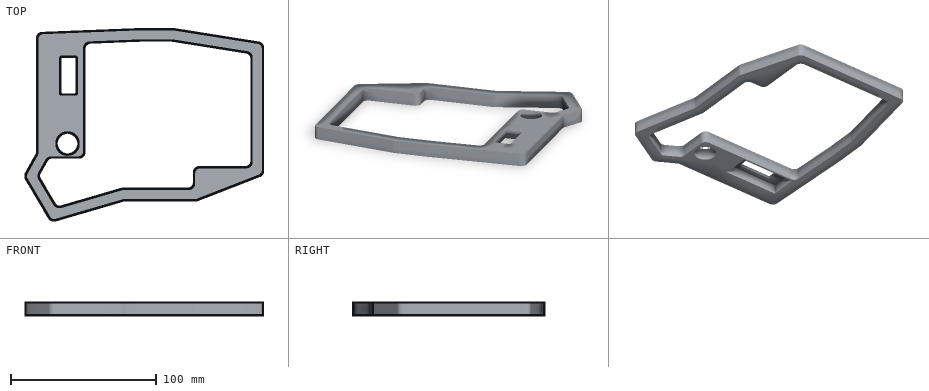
import cadquery as cq
import math

thickness = 9.0
wall = 8.0
length = 163.8
height = 132.0

grip_x = 8.0
grip_bottom_y = 46.2
grip_top_y = 129.3
roof_left_x = 78.6
roof_right_x = 102.0
right_top_y = 122.2
right_bottom_y = 31.8
floor_y = 14.0
floor_left_x = 67.8
floor_right_x = 118.0
tip = (-0.7, 30.6)
low_corner = (17.9, -0.7)

pillar_right_x = 40.6
pillar_bottom_y = 43.5
notch_left_x = 116.2
notch_top_y = 36.9

corner_radius = 4.0

slot_left_x = 24.1
slot_right_x = 35.2
slot_bottom_y = 87.0
slot_top_y = 112.9
slot_radius = 0.8
lip_thickness = 2.0
pocket_side_margin = 4.0
pocket_end_margin = 8.0
hole_center = (29.0, 53.1)
hole_diameter = 15.0

grip_top = (grip_x, grip_top_y)
roof_left = (roof_left_x, height)
roof_right = (roof_right_x, height)
right_top = (length, right_top_y)
right_bottom = (length, right_bottom_y)
floor_right = (floor_right_x, floor_y)
floor_left = (floor_left_x, floor_y)
grip_bottom = (grip_x, grip_bottom_y)


def inset(start, end):
    """Line through a clockwise outer edge, moved inward by the wall width."""
    dx = end[0] - start[0]
    dy = end[1] - start[1]
    edge_length = math.hypot(dx, dy)
    direction = (dx / edge_length, dy / edge_length)
    point = (start[0] + wall * direction[1], start[1] - wall * direction[0])
    return point, direction


def horizontal(y):
    return (0, y), (1, 0)


def vertical(x):
    return (x, 0), (0, 1)


def crossing(first, second):
    """Point where two lines, each a point and a direction, cross."""
    (px, py), (ux, uy) = first
    (qx, qy), (vx, vy) = second
    distance = ((qx - px) * vy - (qy - py) * vx) / (ux * vy - uy * vx)
    return px + distance * ux, py + distance * uy


def prism(corners):
    return cq.Workplane("XY").polyline(corners).close().extrude(thickness)


def make_body():
    corners = [
        grip_top, roof_left, roof_right, right_top, right_bottom,
        floor_right, floor_left, low_corner, tip, grip_bottom,
    ]
    return prism(corners).edges("|Z").fillet(corner_radius)


def make_window():
    sides = [
        vertical(pillar_right_x),
        inset(grip_top, roof_left),
        inset(roof_left, roof_right),
        inset(roof_right, right_top),
        inset(right_top, right_bottom),
        horizontal(notch_top_y),
        vertical(notch_left_x),
        inset(floor_right, floor_left),
        inset(floor_left, low_corner),
        inset(low_corner, tip),
        inset(tip, grip_bottom),
        horizontal(pillar_bottom_y),
    ]
    corners = [crossing(sides[i - 1], sides[i]) for i in range(len(sides))]
    return prism(corners).edges("|Z").fillet(corner_radius)


def make_slot():
    """Rounded slot through the thin lip, opening into a larger pocket from below."""
    slot_width = slot_right_x - slot_left_x
    slot_length = slot_top_y - slot_bottom_y
    center_x = (slot_left_x + slot_right_x) / 2
    center_y = (slot_bottom_y + slot_top_y) / 2
    plan = cq.Workplane("XY").center(center_x, center_y)
    slot = plan.rect(slot_width, slot_length).extrude(thickness)
    slot = slot.edges("|Z").fillet(slot_radius)
    pocket_width = slot_width + 2 * pocket_side_margin
    pocket_length = slot_length + 2 * pocket_end_margin
    pocket = plan.rect(pocket_width, pocket_length).extrude(thickness - lip_thickness)
    return slot.union(pocket)


def make_hole():
    return cq.Workplane("XY").center(*hole_center).circle(hole_diameter / 2).extrude(thickness)


result = make_body().cut(make_window()).cut(make_slot()).cut(make_hole())